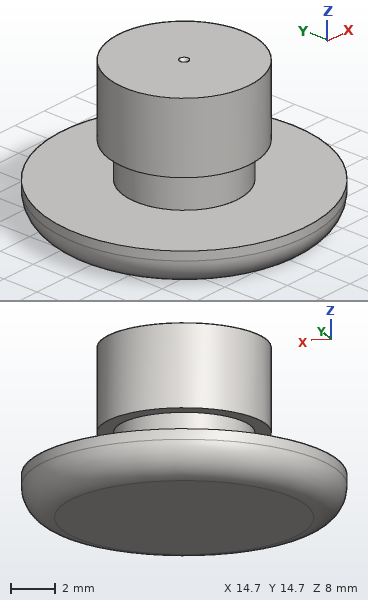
import cadquery as cq

flange_diameter = 14.7
flange_height = 2.0
rim_radius = 1.5

neck_diameter = 6.4
neck_height = flange_height

head_diameter = 7.86
head_height = 2 * neck_height

dimple_diameter = 0.5
dimple_depth = dimple_diameter / 2

neck_base = flange_height
head_base = neck_base + neck_height
top = head_base + head_height


def cylinder(diameter, height, base):
    return cq.Workplane("XY").workplane(offset=base).circle(diameter / 2).extrude(height)


flange = cylinder(flange_diameter, flange_height, 0).faces("<Z").edges().fillet(rim_radius)
neck = cylinder(neck_diameter, neck_height, neck_base)
head = cylinder(head_diameter, head_height, head_base)

dimple = cq.Workplane("XY").add(
    cq.Solid.makeCone(
        dimple_diameter / 2, 0, dimple_depth,
        pnt=cq.Vector(0, 0, top), dir=cq.Vector(0, 0, -1),
    )
)

result = flange.union(neck).union(head).cut(dimple)